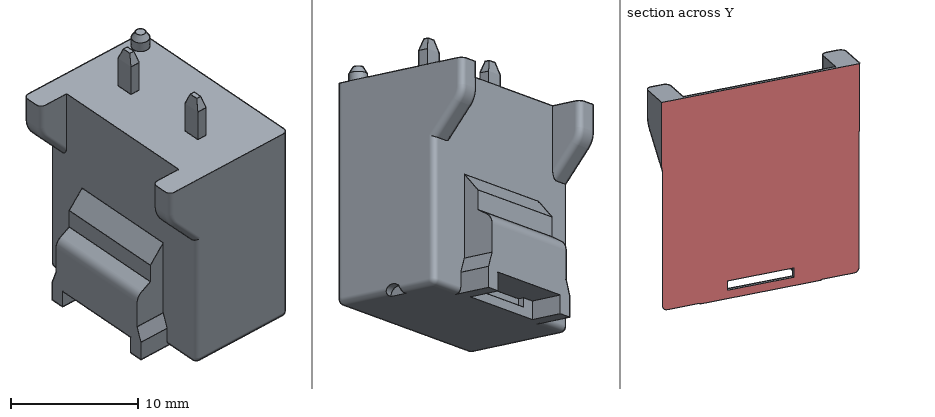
import cadquery as cq
import math


width = 17.22
depth = 12.45
height = 18.1
edge_radius = 0.5
wall_depth = 9.7
back_y = depth / 2
front_y = -depth / 2
wall_y = back_y - wall_depth
front_projection = depth - wall_depth
tolerance = 0.002

wing_width = 2.0
gap_width = width - 2 * wing_width
wing_root_z = 12.05
wing_corner_z = 15.13
wing_bend_radius = 2.0

latch_width = 9.57
latch_foot_width = 10.49
latch_foot_z = 1.72
latch_flare_z = 2.99
latch_top_z = 9.85
latch_step_projection = 1.35
latch_step_top_z = 8.33
latch_step_bottom_z = 6.71
latch_nose_slope = 30.0
latch_nose_radius = 1.0

slot_width = 8.0
slot_height = 1.53
pocket_width = 5.73
pocket_height = 0.76
pocket_depth = 0.5

notch_radius = 0.75
notch_depth = 0.75

total_height = 21.8
pin_pitch = 7.9
pin_y = back_y - 5.55
pin_width = 1.53
pin_thickness = 0.87
pin_tip_width = 0.76
pin_tip_thickness = 0.41
pin_shoulder_z = 20.8

peg_x = -7.41
peg_y = back_y - 1.22
peg_radius = 0.75
peg_tip_radius = 0.41
peg_shoulder_z = 18.95
peg_tip_z = 19.5


def make_housing():
    """Block with two forward wings, rounded everywhere but on the top rim and the wing roots."""
    side_outline = [
        (back_y, 0),
        (back_y, height),
        (front_y, height),
        (front_y, wing_corner_z),
        (wall_y, wing_root_z),
        (wall_y, 0),
    ]
    block = cq.Workplane("YZ").polyline(side_outline).close().extrude(width / 2, both=True)
    wing_bend = cq.selectors.NearestToPointSelector((0, front_y, wing_corner_z))
    block = block.edges(wing_bend).fillet(wing_bend_radius)

    gap_between_wings = (
        cq.Workplane("XY")
        .box(gap_width, front_projection, height, centered=(True, False, False))
        .translate((0, front_y, 0))
    )
    block = block.cut(gap_between_wings)

    side_edges = block.faces("<X or >X").edges("not >Z").vals()
    bottom_edges = block.faces("<Z").edges("|X").vals()
    gap_side_edges = [
        edge
        for edge in block.edges("not |X").vals()
        if abs(abs(edge.Center().x) - gap_width / 2) < tolerance
        and edge.Center().y < wall_y - tolerance
        and edge.Center().z < height - tolerance
    ]
    return block.newObject(side_edges + bottom_edges + gap_side_edges).fillet(edge_radius)


def make_latch():
    """Stepped latch with flared feet, where its side profile and front outline overlap."""
    nose_y = front_y
    step_y = wall_y - latch_step_projection
    nose_drop = (step_y - nose_y) * math.tan(math.radians(latch_nose_slope))
    nose_z = latch_step_bottom_z - nose_drop
    root_y = wall_y + edge_radius
    profile = [
        (root_y, 0),
        (root_y, latch_top_z),
        (wall_y, latch_top_z),
        (step_y, latch_step_top_z),
        (step_y, latch_step_bottom_z),
        (nose_y, nose_z),
        (nose_y, 0),
    ]
    latch = cq.Workplane("YZ").polyline(profile).close().extrude(latch_foot_width / 2, both=True)
    nose_edge = cq.selectors.NearestToPointSelector((0, nose_y, nose_z))
    latch = latch.edges(nose_edge).fillet(latch_nose_radius)

    right_outline = [
        (latch_foot_width / 2, 0),
        (latch_foot_width / 2, latch_foot_z),
        (latch_width / 2, latch_flare_z),
        (latch_width / 2, latch_top_z),
    ]
    left_outline = [(-x, z) for x, z in reversed(right_outline)]
    outline = cq.Workplane("XZ").polyline(right_outline + left_outline).close()
    return latch.intersect(outline.extrude(depth, both=True))


def make_slot():
    """Opening between the latch feet plus the shallow pocket at its top."""
    slot = (
        cq.Workplane("XY")
        .box(slot_width, front_projection, slot_height, centered=(True, False, False))
        .translate((0, front_y, 0))
    )
    pocket = (
        cq.Workplane("XY")
        .box(pocket_width, pocket_depth, pocket_height, centered=(True, False, False))
        .translate((0, wall_y, slot_height - pocket_height))
    )
    return slot.union(pocket)


def make_notch():
    """Half-round recess, in line with the pins."""
    return cq.Workplane("YZ", origin=(-width / 2, pin_y, 0)).circle(notch_radius).extrude(notch_depth)


def make_pin(x):
    """Flat pin with a tapered tip."""
    shank = (
        cq.Workplane("XY", origin=(x, pin_y, height))
        .rect(pin_width, pin_thickness)
        .extrude(pin_shoulder_z - height)
    )
    tip = (
        cq.Workplane("XY", origin=(x, pin_y, pin_shoulder_z))
        .rect(pin_width, pin_thickness)
        .workplane(offset=total_height - pin_shoulder_z)
        .rect(pin_tip_width, pin_tip_thickness)
        .loft(ruled=True)
    )
    return shank.union(tip)


def make_peg():
    """Round peg with a conical tip."""
    half_profile = [
        (0, height),
        (peg_radius, height),
        (peg_radius, peg_shoulder_z),
        (peg_tip_radius, peg_tip_z),
        (0, peg_tip_z),
    ]
    peg = cq.Workplane("XZ").polyline(half_profile).close().revolve(360, (0, 0), (0, 1))
    return peg.translate((peg_x, peg_y, 0))


result = make_housing().union(make_latch()).cut(make_slot()).cut(make_notch())
for pin_x in (-pin_pitch / 2, pin_pitch / 2):
    result = result.union(make_pin(pin_x))
result = result.union(make_peg())